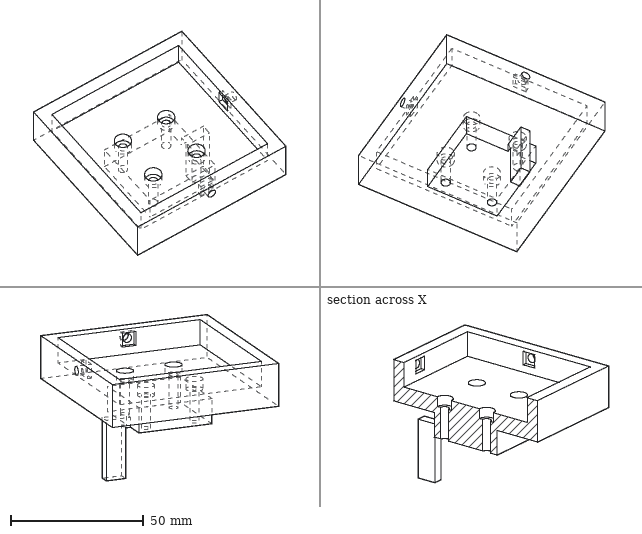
import cadquery as cq

tray_side = 68.5
tray_height = 17.0
wall = 5.0
pocket_depth = 10.0
floor_thickness = tray_height - pocket_depth

block_side = 30.0
block_height = 10.0

hook_width = 4.0
hook_center_x = -5.0
hook_outer_y = 25.0
hook_leg_depth = 8.0
hook_arm_height = 4.0
hook_leg_drop = 20.0

screw_spacing = 20.0
screw_diameter = 3.5
head_diameter = 6.5
head_depth = 4.0

window_side = 5.5
window_recess = 1.7
window_top_gap = 1.5
cable_diameter = 3.4

block_bottom = -block_height
inner_face = tray_side / 2 - wall


def make_tray():
    """Open square tray."""
    inner_side = tray_side - 2 * wall
    body = cq.Workplane("XY").rect(tray_side, tray_side).extrude(tray_height)
    return body.faces(">Z").workplane().rect(inner_side, inner_side).cutBlind(-pocket_depth)


def make_block():
    """Mounting block hanging from the tray floor."""
    return cq.Workplane("XY").rect(block_side, block_side).extrude(block_bottom)


def make_hook():
    """Arm reaching out of the block, with a leg pointing down."""
    block_face_y = block_side / 2
    leg_inner_y = hook_outer_y - hook_leg_depth
    arm_top = block_bottom + hook_arm_height
    leg_bottom = block_bottom - hook_leg_drop
    return (
        cq.Workplane("YZ", origin=(hook_center_x, 0, 0))
        .moveTo(block_face_y, arm_top)
        .lineTo(hook_outer_y, arm_top)
        .lineTo(hook_outer_y, leg_bottom)
        .lineTo(leg_inner_y, leg_bottom)
        .lineTo(leg_inner_y, block_bottom)
        .lineTo(block_face_y, block_bottom)
        .close()
        .extrude(hook_width / 2, both=True)
    )


def cut_screw_holes(body):
    """Four holes through floor and block, counterbored from inside the tray."""
    return (
        body.copyWorkplane(cq.Workplane("XY", origin=(0, 0, floor_thickness)))
        .rarray(screw_spacing, screw_spacing, 2, 2)
        .cboreHole(screw_diameter, head_diameter, head_depth, floor_thickness + block_height)
    )


def make_window_cutter():
    """Recess in the inside of the +X wall and a round hole through that wall."""
    center_z = tray_height - window_top_gap - window_side / 2
    plane = cq.Workplane("YZ", origin=(inner_face, 0, center_z))
    recess = plane.rect(window_side, window_side).extrude(window_recess)
    hole = plane.circle(cable_diameter / 2).extrude(wall)
    return recess.union(hole)


result = make_tray().union(make_block()).union(make_hook())
result = cut_screw_holes(result)
for wall_angle in (0, 90):
    result = result.cut(make_window_cutter().rotate((0, 0, 0), (0, 0, 1), wall_angle))